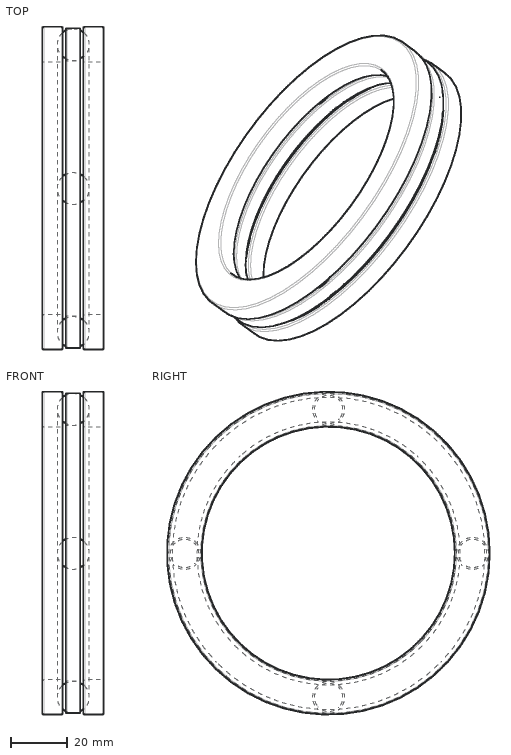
import cadquery as cq

bearing_width = 22.0
washer_diameter = 115.0
washer_bore = 89.9
washer_thickness = 7.4
washer_edge_radius = 0.6

cage_diameter = 114.0
cage_bore = 91.0
cage_thickness = 5.3
cage_edge_radius = 0.5

ball_diameter = 11.4
ball_count = 4

pitch_radius = (washer_diameter + washer_bore) / 4
ball_step = 360 / ball_count


def make_ring(outer_diameter, bore, thickness, edge_radius):
    """Flat ring centred on the origin, with all four circular edges rounded."""
    return (
        cq.Workplane("YZ")
        .circle(outer_diameter / 2)
        .circle(bore / 2)
        .extrude(thickness)
        .translate((-thickness / 2, 0, 0))
        .edges("%CIRCLE")
        .fillet(edge_radius)
    )


def make_ball(index):
    """One ball on the pitch circle; the first one sits on the +Z side."""
    return (
        cq.Workplane("YZ")
        .sphere(ball_diameter / 2)
        .translate((0, 0, pitch_radius))
        .rotate((0, 0, 0), (1, 0, 0), index * ball_step)
    )


def make_raceway():
    """Torus swept by a ball along the pitch circle."""
    return cq.Workplane(cq.Solid.makeTorus(
        pitch_radius, ball_diameter / 2, cq.Vector(0, 0, 0), cq.Vector(1, 0, 0)
    ))


def make_washer(side):
    """End washer with a ball groove in its inner face; side is -1 or 1 along X."""
    center_x = side * (bearing_width - washer_thickness) / 2
    washer = make_ring(washer_diameter, washer_bore, washer_thickness, washer_edge_radius)
    return washer.translate((center_x, 0, 0)).cut(make_raceway())


def make_cage(balls):
    """Middle ring with a spherical pocket around each ball."""
    cage = make_ring(cage_diameter, cage_bore, cage_thickness, cage_edge_radius)
    for ball in balls:
        cage = cage.cut(ball)
    return cage


balls = [make_ball(index) for index in range(ball_count)]
washers = [make_washer(side) for side in (-1, 1)]
cage = make_cage(balls)

result = cq.Compound.makeCompound([
    *[washer.val() for washer in washers],
    cage.val(),
    *[ball.val() for ball in balls],
])